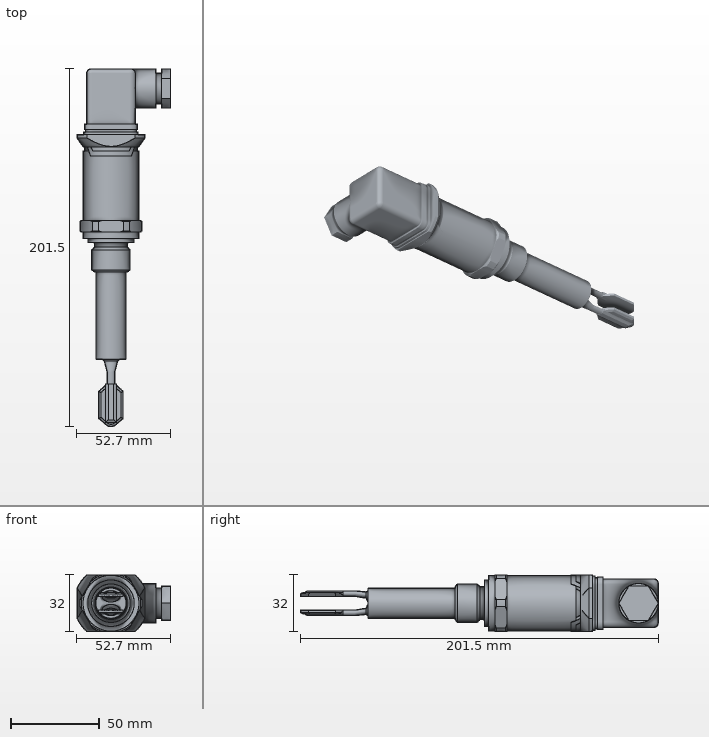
import cadquery as cq
import math


total_length = 201.5
total_width = 52.72

gasket_back_y = 170.4
gasket_front_y = 167.4
plinth_back_y = 165.9
flange_back_y = 164.4
flange_rim_y = 162.5
flange_front_y = 157.6
groove_front_y = 155.2
pad_front_y = 152.3
hex_back_y = 116.2
hex_front_y = 109.5
housing_front_y = 105.9
step_front_y = 103.6
relief_front_y = 101.1
thread_back_y = 99.4
thread_front_y = 88.3
tube_back_y = 87.0
tube_front_y = 37.9
root_flare_front_y = 36.9
stem_back_y = 30.8

plug_width = 27.4
plug_edge_radius = 3.0
plug_back_radius = 2.6
gasket_width = 29.8
gasket_neck_width = 28.8
plinth_width = 30.7
gland_diameter = 22.2
gland_y = total_length - gland_diameter / 2
gland_end_x = 25.3
gland_neck_diameter = 17.4
gland_nut_back_x = 28.6
gland_nut_end_x = 33.65
gland_nut_across_flats = 19.2

flange_radius = 20.9
flange_width_x = 2 * (total_width - gland_nut_end_x)
flange_front_width_x = 31.2
flange_height_z = 32.0

housing_radius = 15.75
groove_radius = 14.9
hex_across_flats = flange_height_z
hex_corner_radius = 17.45
hex_chamfer = 0.8
step_radius = 13.1
relief_radius = 9.3
relief_root_fillet = 0.7
thread_radius = 10.85
tube_radius = 8.55
tube_edge_fillet = 0.6

pad_back_width = 26.6
pad_front_width = 23.0
pad_face_back_width = 22.8
pad_face_front_width = 20.4
pad_step = 0.1
pad_radius = housing_radius + pad_step
pad_face_radius = pad_radius + pad_step

flare_width = 10.0
flare_height = 6.2
flare_z = 3.8
root_width = 7.6
root_height = 3.6
root_z = 4.6
stem_width = 4.4
stem_height = 3.2
blade_width = 13.8
blade_inner_z = 3.9
blade_thickness = 2.1
blade_bevel_width = 1.3
blade_bevel_depth = 0.7
blade_shoulder_y = 24.0
blade_full_width_back_y = 19.8
blade_full_width_front_y = 4.6
blade_tip_width = 4.2
blade_tip_bulge = 0.5
rib_base_width = 6.4
rib_top_width = 3.0
rib_front_y = 2.2
rib_slope_length = 1.6
rib_top_z = 7.0
stem_z = rib_top_z - stem_height / 2


def plane_at(y):
    """Section plane across the probe axis, with local x = X and local y = Z, extruding to -Y."""
    return cq.Workplane("XZ", origin=(0, y, 0))


def disc(radius, back_y, front_y):
    return plane_at(back_y).circle(radius).extrude(back_y - front_y)


def square_block(width, edge_radius, back_y, front_y):
    block = plane_at(back_y).rect(width, width).extrude(back_y - front_y)
    return block.edges("|Y").fillet(edge_radius)


def across_corners(across_flats):
    """Corner-to-corner width of a regular hexagon."""
    return across_flats / math.cos(math.pi / 6)


def mirrored_in_z(shape):
    return shape.union(shape.mirror("XY"))


def make_plug():
    plug = square_block(plug_width, plug_edge_radius, total_length, gasket_back_y)
    plug = plug.faces(">Y").edges().fillet(plug_back_radius)
    flat_half_width = plug_width / 2 - plug_edge_radius
    collars = [
        (gasket_width, gasket_back_y, gasket_front_y),
        (gasket_neck_width, gasket_front_y, plinth_back_y),
        (plinth_width, plinth_back_y, flange_back_y),
    ]
    for width, back_y, front_y in collars:
        plug = plug.union(square_block(width, width / 2 - flat_half_width, back_y, front_y))
    return plug


def make_cable_gland():
    gland_axis = cq.Workplane("YZ", origin=(0, gland_y, 0))
    barrel = gland_axis.circle(gland_diameter / 2).extrude(gland_end_x)
    neck = gland_axis.circle(gland_neck_diameter / 2).extrude(gland_nut_back_x)
    nut_across_corners = across_corners(gland_nut_across_flats)
    nut = (
        gland_axis.workplane(offset=gland_nut_back_x)
        .polygon(6, nut_across_corners)
        .extrude(gland_nut_end_x - gland_nut_back_x)
    )
    return barrel.union(neck).union(nut)


def make_flange():
    """Round flange with a conical front, trimmed by flats in Z and by flats with sloped fronts in X."""
    profile = [
        (0, flange_back_y),
        (flange_radius, flange_back_y),
        (flange_radius, flange_rim_y),
        (housing_radius, flange_front_y),
        (0, flange_front_y),
    ]
    flange = cq.Workplane("XY").polyline(profile).close().revolve(360, (0, 0), (0, 1))
    trim_outline = [
        (-flange_width_x / 2, flange_back_y),
        (flange_width_x / 2, flange_back_y),
        (flange_width_x / 2, flange_rim_y),
        (flange_front_width_x / 2, flange_front_y),
        (-flange_front_width_x / 2, flange_front_y),
        (-flange_width_x / 2, flange_rim_y),
    ]
    trim = cq.Workplane("XY").polyline(trim_outline).close().extrude(flange_height_z / 2, both=True)
    return flange.intersect(trim)


def make_turned_body():
    """Housing, threaded connection and probe tube as one turned profile."""
    return (
        cq.Workplane("XY")
        .moveTo(0, flange_front_y)
        .lineTo(groove_radius, flange_front_y)
        .lineTo(groove_radius, groove_front_y)
        .lineTo(housing_radius, groove_front_y)
        .lineTo(housing_radius, housing_front_y)
        .lineTo(step_radius, housing_front_y)
        .lineTo(step_radius, step_front_y)
        .lineTo(relief_radius + relief_root_fillet, step_front_y)
        .radiusArc((relief_radius, step_front_y - relief_root_fillet), -relief_root_fillet)
        .lineTo(relief_radius, relief_front_y)
        .lineTo(thread_radius, thread_back_y)
        .lineTo(thread_radius, thread_front_y)
        .lineTo(tube_radius + tube_edge_fillet, tube_back_y)
        .lineTo(tube_radius, tube_back_y)
        .lineTo(tube_radius, tube_front_y + tube_edge_fillet)
        .radiusArc((tube_radius - tube_edge_fillet, tube_front_y), tube_edge_fillet)
        .lineTo(0, tube_front_y)
        .close()
        .revolve(360, (0, 0), (0, 1))
    )


def make_pad(back_width, front_width, front_y, radius):
    """Trapezoid pad wrapped on the housing, pointing away from the flange."""
    outline = [
        (-back_width / 2, flange_front_y),
        (back_width / 2, flange_front_y),
        (front_width / 2, front_y),
        (-front_width / 2, front_y),
    ]
    prism = cq.Workplane("XY").polyline(outline).close().extrude(radius)
    return prism.intersect(disc(radius, flange_front_y, front_y))


def make_locking_pads():
    """Two-level pads that bridge the groove on the +Z and -Z sides."""
    pad = make_pad(pad_back_width, pad_front_width, pad_front_y, pad_radius)
    face = make_pad(pad_face_back_width, pad_face_front_width, groove_front_y, pad_face_radius)
    return mirrored_in_z(pad.union(face))


def make_hex():
    """Wrench hexagon with its corners turned down and chamfered."""
    length = hex_back_y - hex_front_y
    hexagon = plane_at(hex_back_y).polygon(6, across_corners(hex_across_flats)).extrude(length)
    turned = disc(hex_corner_radius, hex_back_y, hex_front_y).edges().chamfer(hex_chamfer)
    return hexagon.intersect(turned)


def blade_outline():
    """Points of the +X half of the blade, from the shoulder to the tip corner."""
    return [
        (stem_width / 2, blade_shoulder_y),
        (blade_width / 2, blade_full_width_back_y),
        (blade_width / 2, blade_full_width_front_y),
        (blade_tip_width / 2, blade_tip_bulge),
    ]


def make_blade():
    right_side = blade_outline()
    left_side = [(-x, y) for x, y in reversed(right_side)]
    blade = (
        cq.Workplane("XY", origin=(0, 0, blade_inner_z))
        .polyline(right_side)
        .threePointArc((0, 0), left_side[0])
        .polyline(left_side, includeCurrent=False)
        .close()
        .extrude(blade_thickness)
    )
    return blade.faces(">Z").edges().chamfer(blade_bevel_depth, blade_bevel_width)


def make_rib():
    """Sloped-sided rib along the outside of the blade, with a sloped front end."""
    base_z = blade_inner_z + blade_thickness / 2
    blade_top_z = blade_inner_z + blade_thickness
    section = [
        (-rib_base_width / 2, base_z),
        (rib_base_width / 2, base_z),
        (rib_base_width / 2, blade_top_z),
        (rib_top_width / 2, rib_top_z),
        (-rib_top_width / 2, rib_top_z),
        (-rib_base_width / 2, blade_top_z),
    ]
    rib = plane_at(blade_shoulder_y).polyline(section).close().extrude(blade_shoulder_y - rib_front_y)
    side_profile = [
        (blade_shoulder_y, base_z),
        (blade_shoulder_y, rib_top_z),
        (rib_front_y + rib_slope_length, rib_top_z),
        (rib_front_y, blade_top_z),
        (rib_front_y, base_z),
    ]
    side = cq.Workplane("YZ").polyline(side_profile).close().extrude(rib_base_width / 2, both=True)
    return rib.intersect(side)


def make_stem():
    """Root flaring into the tube end and tapering to an oval stem that meets the blade."""
    root = (
        plane_at(tube_front_y)
        .center(0, flare_z)
        .ellipse(flare_width / 2, flare_height / 2)
        .workplane(offset=tube_front_y - root_flare_front_y)
        .center(0, root_z - flare_z)
        .ellipse(root_width / 2, root_height / 2)
        .workplane(offset=root_flare_front_y - stem_back_y)
        .center(0, stem_z - root_z)
        .ellipse(stem_width / 2, stem_height / 2)
        .loft(ruled=True)
    )
    stem_length = stem_back_y - blade_full_width_back_y
    stem_section = plane_at(stem_back_y).center(0, stem_z).ellipse(stem_width / 2, stem_height / 2)
    stem = stem_section.extrude(stem_length)
    return root.union(stem)


def make_fork():
    tine = make_blade().union(make_rib()).union(make_stem())
    return mirrored_in_z(tine)


result = (
    make_turned_body()
    .union(make_flange())
    .union(make_plug())
    .union(make_cable_gland())
    .union(make_locking_pads())
    .union(make_hex())
    .union(make_fork())
)